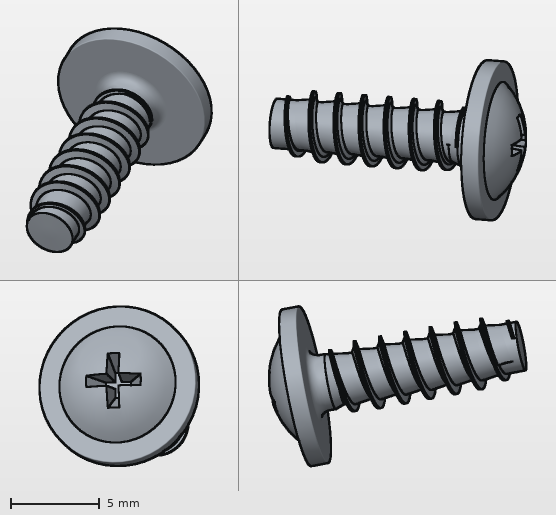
import cadquery as cq
import math


flange_radius = 9.0 / 2
flange_thickness = 1.03
flange_edge_round = 0.06
dome_radius = 3.34
dome_height = 1.43
crown_radius = 0.58
head_height = flange_thickness + dome_height

recess_depth = 1.73
recess_top_reach = 1.7
recess_bottom_reach = 0.72
wing_top_width = 0.7
wing_bottom_width = 0.38

shank_length = 14.44 - head_height
neck_radius = 1.59
neck_fillet = 0.58
neck_end = 0.97
neck_taper_end = 1.52
core_radius = 1.4
tip_cone_height = 0.05
tip_ring_width = 0.07

crest_radius = 1.99
full_turns = 5
pitch = 1.46
crest_half_width = 0.06
root_radius = 1.15
sunk_radius = core_radius - 0.01

start_depth = 0.98
start_crest = 1.66
rise_depth = 1.03
rise_crest = 1.7
level_turns = 0.25
rise_turns = 1.0

fade_turns = 1.35
fade_drop = 0.53

swell_radius = 1.52
swell_length = 1.05
swell_turns = 6.75

rib_outline = [
    (-0.27, root_radius),
    (-0.27, sunk_radius),
    (-0.1, 1.68),
    (-crest_half_width, crest_radius),
    (crest_half_width, crest_radius),
    (0.16, 1.47),
    (0.16, root_radius),
]
swell_outline = [
    (0.0, root_radius),
    (0.0, swell_radius),
    (0.15, swell_radius),
    (swell_length, sunk_radius),
    (swell_length, root_radius),
]


def helix_edge(offset, radius, start, end):
    """Helix about Z between two stations (turns, depth, radial shift)."""
    turns = end[0] - start[0]
    rise = end[1] - start[1]
    slope = math.atan2(end[2] - start[2], rise)
    slant = rise / math.cos(slope)
    if slope == 0:
        helix = cq.Wire.makeHelix(rise / turns, rise, radius + start[2])
    else:
        helix = cq.Wire.makeHelix(
            slant / turns, slant, radius + start[2], angle=math.degrees(slope)
        )
    turned = helix.rotate(cq.Vector(0, 0, 0), cq.Vector(0, 0, 1), 360 * start[0])
    return turned.translate(cq.Vector(0, 0, start[1] + offset)).Edges()[0]


def end_face(outline, station):
    """Flat outline face in the axial plane at one station."""
    turns, depth, shift = station
    direction = math.radians(360 * turns)
    points = []
    for offset, radius in outline:
        reach = radius + shift
        points.append(
            cq.Vector(reach * math.cos(direction), reach * math.sin(direction), depth + offset)
        )
    return cq.Face.makeFromWires(cq.Wire.makePolygon(points, close=True))


def helical_solid(outline, stations):
    """Outline carried along the stations, then laid with its axis towards -Y."""
    faces = [end_face(outline, stations[0]), end_face(outline, stations[-1])]
    for start, end in zip(stations, stations[1:]):
        edges = [helix_edge(offset, radius, start, end) for offset, radius in outline]
        for edge, following in zip(edges, edges[1:] + edges[:1]):
            faces.append(cq.Face.makeRuledSurface(edge, following))
    shell = cq.Shell.makeShell(faces)
    solid = cq.Solid.makeSolid(shell).fix()
    return solid.rotate(cq.Vector(0, 0, 0), cq.Vector(1, 0, 0), 90)


def make_body():
    """Revolved dome, flange, neck and core."""
    sphere_drop = (dome_radius**2 - crown_radius**2 - dome_height**2) / (2 * dome_height)
    sphere_radius = math.hypot(dome_radius, sphere_drop)
    tip_edge = tip_cone_height - shank_length
    profile = (
        cq.Workplane("ZY")
        .moveTo(0, head_height)
        .lineTo(crown_radius, head_height)
        .radiusArc((dome_radius, flange_thickness), sphere_radius)
        .lineTo(flange_radius - flange_edge_round, flange_thickness)
        .radiusArc((flange_radius, flange_thickness - flange_edge_round), flange_edge_round)
        .lineTo(flange_radius, flange_edge_round)
        .radiusArc((flange_radius - flange_edge_round, 0), flange_edge_round)
        .lineTo(neck_radius + neck_fillet, 0)
        .radiusArc((neck_radius, -neck_fillet), -neck_fillet)
        .lineTo(neck_radius, -neck_end)
        .lineTo(core_radius, -neck_taper_end)
        .lineTo(core_radius, tip_edge)
        .lineTo(core_radius - tip_ring_width, tip_edge)
        .lineTo(0, -shank_length)
        .close()
    )
    return profile.revolve(360, (0, 0, 0), (0, 1, 0))


def make_recess():
    """Cross recess: two crossed wings, narrowing with depth."""
    top = cq.Workplane("XZ", origin=(0, head_height, 0))
    wing = (
        top.rect(2 * recess_top_reach, wing_top_width)
        .workplane(offset=recess_depth)
        .rect(2 * recess_bottom_reach, wing_bottom_width)
        .loft(ruled=True)
    )
    return wing.union(wing.rotate((0, 0, 0), (0, 1, 0), 90))


def make_thread():
    """Thread rib with run-in and run-out."""
    full_start = level_turns + rise_turns
    full_end = full_start + full_turns
    full_depth = rise_depth + pitch * rise_turns
    full_end_depth = full_depth + pitch * full_turns
    stations = [
        (0, start_depth, start_crest - crest_radius),
        (level_turns, rise_depth, rise_crest - crest_radius),
        (full_start, full_depth, 0),
        (full_end, full_end_depth, 0),
        (full_end + fade_turns, full_end_depth + pitch * fade_turns, -fade_drop),
    ]
    return helical_solid(rib_outline, stations)


def make_swell():
    """Helical swell of the core that follows the thread."""
    swell_start = rise_depth - pitch * level_turns
    stations = [
        (0, swell_start, 0),
        (swell_turns, swell_start + pitch * swell_turns, 0),
    ]
    return helical_solid(swell_outline, stations)


body = make_body().cut(make_recess())
result = body.union(cq.Workplane(make_swell())).union(cq.Workplane(make_thread()))